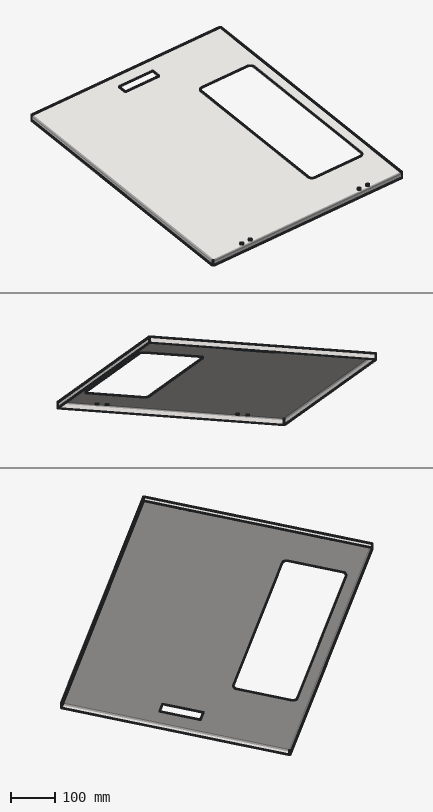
import cadquery as cq

length = 680.0
width = 540.0
height = 15.0

sheet = 1.2
inner_bend_radius = 1.0
bend_radius = inner_bend_radius + sheet
corner_notch = 2.0

window_length = 420.0
window_width = 150.0
window_corner_radius = 10.0
window_x = 24.0
window_y = 165.0

slot_size_x = 24.0
slot_size_y = 96.0
slot_x = -290.0
slot_y = 0.0

hole_diameter = 6.5
hole_edge_distance = 12.0
hole_pair_spacing = 24.0
hole_pair_offset = 167.0


def top_rounded_block(block_length, block_width, block_height, radius):
    """Block standing on the XY plane with its four top edges rounded."""
    return (
        cq.Workplane("XY")
        .box(block_length, block_width, block_height, centered=(True, True, False))
        .faces(">Z")
        .edges()
        .fillet(radius)
    )


def folded_pan():
    """Shallow tray of even sheet thickness, open at the bottom."""
    outside = top_rounded_block(length, width, height, bend_radius)
    inside = top_rounded_block(
        length - 2 * sheet,
        width - 2 * sheet,
        height - sheet,
        inner_bend_radius,
    )
    return outside.cut(inside)


def corner_notches():
    """Square reliefs that separate the flanges at the four corners."""
    return (
        cq.Workplane("XY")
        .rect(length, width, forConstruction=True)
        .vertices()
        .rect(2 * corner_notch, 2 * corner_notch)
        .extrude(height)
    )


def window():
    """Large through opening with rounded corners."""
    return (
        cq.Workplane("XY")
        .center(window_x, window_y)
        .rect(window_length, window_width)
        .extrude(height)
        .edges("|Z")
        .fillet(window_corner_radius)
    )


def handle_slot():
    """Square-cornered through opening near the -X edge."""
    return (
        cq.Workplane("XY")
        .center(slot_x, slot_y)
        .rect(slot_size_x, slot_size_y)
        .extrude(height)
    )


def hinge_holes():
    """Two pairs of round through holes, placed symmetrically about the X axis."""
    hole_x = length / 2 - hole_edge_distance
    half_spacing = hole_pair_spacing / 2
    points = []
    for pair_y in (-hole_pair_offset, hole_pair_offset):
        points.append((hole_x, pair_y - half_spacing))
        points.append((hole_x, pair_y + half_spacing))
    return cq.Workplane("XY").pushPoints(points).circle(hole_diameter / 2).extrude(height)


result = (
    folded_pan()
    .cut(corner_notches())
    .cut(window())
    .cut(handle_slot())
    .cut(hinge_holes())
)